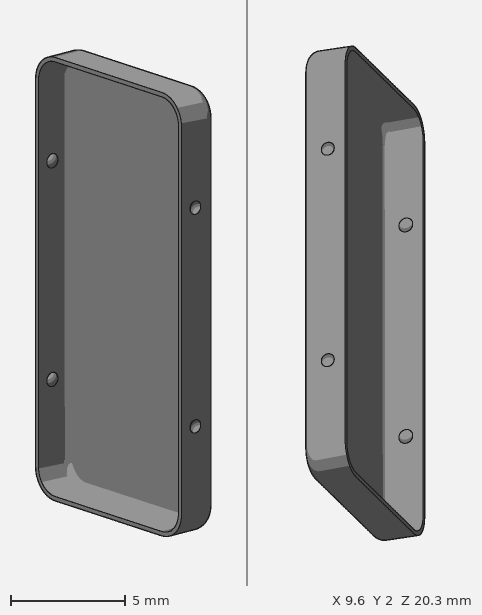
import cadquery as cq
import math

width = 9.6
depth = 2.0
height = 20.3
wall = 0.2
corner_radius = 1.3
back_edge_radius = 0.5

dimple_spacing = 10.0
dimple_from_rim = 0.81
hollow_radius = 0.3
hollow_depth = 0.2
bump_radius = 0.32
bump_height = 0.173


def rounded_block(inset):
    """Rounded block from the open rim to the back, offset inward by inset."""
    return (
        cq.Workplane("XZ")
        .rect(width - 2 * inset, height - 2 * inset)
        .extrude(-(depth - inset))
        .edges("|Y")
        .fillet(corner_radius - inset)
        .faces(">Y")
        .edges()
        .fillet(back_edge_radius - inset)
    )


def spherical_cap(base_x, base_radius, cap_height, root=0):
    """Cap bulging toward -X from the plane x = base_x, with a cylindrical root of given length behind it."""
    sphere_radius = (base_radius**2 + cap_height**2) / (2 * cap_height)
    tip_x = base_x - cap_height
    centre_x = tip_x + sphere_radius
    half_angle = math.atan2(base_radius, centre_x - base_x) / 2
    arc_middle = (
        centre_x - sphere_radius * math.cos(half_angle),
        sphere_radius * math.sin(half_angle),
    )
    profile = (
        cq.Workplane("XY")
        .moveTo(tip_x, 0)
        .threePointArc(arc_middle, (base_x, base_radius))
    )
    if root > 0:
        profile = profile.lineTo(base_x + root, base_radius)
    return (
        profile.lineTo(base_x + root, 0)
        .close()
        .revolve(360, (0, 0, 0), (1, 0, 0))
        .translate((0, dimple_from_rim, 0))
    )


def at_all_dimples(cap):
    """Copies of a +X side cap at both heights of both side walls."""
    copies = []
    for z in (-dimple_spacing / 2, dimple_spacing / 2):
        right_copy = cap.translate((0, 0, z))
        copies += [right_copy, right_copy.mirror("YZ")]
    return copies


tray = rounded_block(0).cut(rounded_block(wall))

bump = spherical_cap(width / 2 - wall, bump_radius, bump_height, root=wall / 2)
hollow = spherical_cap(width / 2, hollow_radius, hollow_depth)
for copy in at_all_dimples(bump):
    tray = tray.union(copy)
for copy in at_all_dimples(hollow):
    tray = tray.cut(copy)

result = tray